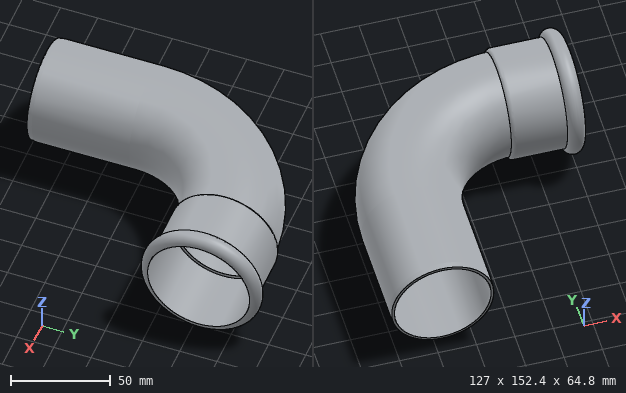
import cadquery as cq
import math

length_y = 152.4
length_x = 127.0
pipe_diameter = 54.0
pipe_bore = 51.0
bend_radius = 64.8
socket_diameter = 57.5
socket_bore = 54.7
socket_length = 35.8
shoulder_radius = 2.9
bead_diameter = 64.8
bead_section_radius = 4.9
taper_length = 2.9
taper_depth = 0.38

socket_radius = socket_diameter / 2
spigot_axis_x = pipe_diameter / 2
socket_axis_y = length_y - bead_diameter / 2
bend_start_y = socket_axis_y - bend_radius
bend_end_x = spigot_axis_x + bend_radius
shoulder_x = length_x - socket_length
bead_center_x = length_x - bead_section_radius
bead_center_radius = bead_diameter / 2 - bead_section_radius


def bend(diameter):
    """Solid quarter bend from the spigot to the socket."""
    return (
        cq.Workplane("XZ", origin=(spigot_axis_x, bend_start_y, 0))
        .circle(diameter / 2)
        .revolve(90, (bend_radius, 0, 0), (bend_radius, -1, 0))
    )


def tapered_spigot(diameter):
    """Solid cylinder from the open pipe end to the bend, drawn in slightly at the open end."""
    radius = diameter / 2
    half_section = cq.Workplane("XY").polyline([
        (spigot_axis_x, 0),
        (spigot_axis_x + radius - taper_depth, 0),
        (spigot_axis_x + radius, taper_length),
        (spigot_axis_x + radius, bend_start_y),
        (spigot_axis_x, bend_start_y),
    ]).close()
    return half_section.revolve(360, (spigot_axis_x, 0, 0), (spigot_axis_x, 1, 0))


def socket():
    """Solid socket with a rounded shoulder and a round bead at its mouth."""
    shoulder_diagonal = shoulder_radius * math.sqrt(0.5)
    shoulder_center_radius = socket_radius - shoulder_radius
    bead_offset = math.sqrt(bead_section_radius**2 - (socket_radius - bead_center_radius)**2)
    profile = (
        cq.Workplane("XY", origin=(0, socket_axis_y, 0))
        .moveTo(shoulder_x - shoulder_radius, 0)
        .lineTo(shoulder_x - shoulder_radius, shoulder_center_radius)
        .threePointArc(
            (shoulder_x - shoulder_diagonal, shoulder_center_radius + shoulder_diagonal),
            (shoulder_x, socket_radius),
        )
        .lineTo(bead_center_x - bead_offset, socket_radius)
        .threePointArc((bead_center_x, bead_diameter / 2), (length_x, bead_center_radius))
        .lineTo(length_x, 0)
        .close()
    )
    return profile.revolve(360, (0, 0, 0), (1, 0, 0))


def socket_hole():
    """Wider bore of the socket, from the end of the bend to the mouth."""
    return (
        cq.Workplane("YZ", origin=(bend_end_x, socket_axis_y, 0))
        .circle(socket_bore / 2)
        .extrude(length_x - bend_end_x)
    )


outside = tapered_spigot(pipe_diameter).union(bend(pipe_diameter)).union(socket())
inside = tapered_spigot(pipe_bore).union(bend(pipe_bore)).union(socket_hole())
result = outside.cut(inside)